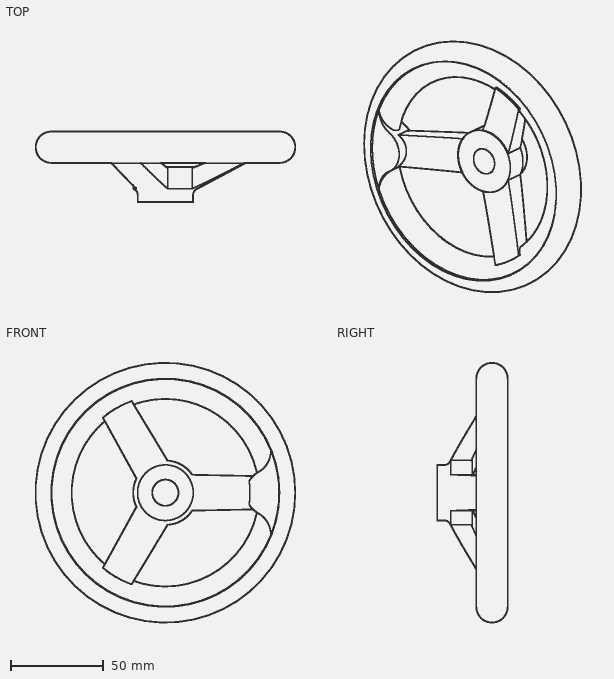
import cadquery as cq
import math

wheel_radius = 70.0
rim_half_width = 8.5
rim_round_centre = wheel_radius - rim_half_width
lip_depth = 1.2
dish_radius = 61.2
inner_radius = 50.4
nose_radius = 3.9
nose_centre = inner_radius + nose_radius

hub_radius = 17.4
hub_nose_radius = 15.0
bore_radius = 7.0
hub_front = -29.5
hub_back = -10.6
step_fillet = 3.4

spoke_count = 3
spoke_axis_half_width = 10.0
spoke_rim_half_width = 8.6
spoke_end = nose_centre
spoke_front_at_hub = -22.3
spoke_back_at_hub = -11.1
spoke_front_slope = 0.533
spoke_back_slope = 0.45

boss_centre = 56.0
boss_radius = 12.6
boss_blend_radius = 13.0
boss_reach = 62.2

dish_depth = rim_half_width - lip_depth


def make_rim():
    """Revolve the rim section: round outside, a conical dish on each side, rounded inner edge."""
    across = dish_radius - nose_centre
    reach = math.hypot(across, dish_depth)
    tangent_angle = math.atan2(dish_depth, across) + math.acos(nose_radius / reach)
    tangent_radius = nose_centre + nose_radius * math.cos(tangent_angle)
    tangent_y = nose_radius * math.sin(tangent_angle)
    section = (
        cq.Workplane("XY")
        .moveTo(rim_round_centre, -rim_half_width)
        .threePointArc((wheel_radius, 0), (rim_round_centre, rim_half_width))
        .lineTo(dish_radius, dish_depth)
        .lineTo(tangent_radius, tangent_y)
        .threePointArc((inner_radius, 0), (tangent_radius, -tangent_y))
        .lineTo(dish_radius, -dish_depth)
        .close()
    )
    return section.revolve(360, (0, 0, 0), (0, 1, 0))


def make_hub_shell():
    """Revolve the hub together with the conical shell that the spokes are cut from."""
    cone_angle = math.atan(spoke_front_slope)
    blend_centre = hub_nose_radius + step_fillet
    shoulder_radius = blend_centre - step_fillet * math.sin(cone_angle)
    shoulder_y = spoke_front_at_hub - spoke_front_slope * (hub_radius - shoulder_radius)
    blend_y = shoulder_y - step_fillet * math.cos(cone_angle)
    half_angle = (math.pi / 2 - cone_angle) / 2
    blend_middle = (
        blend_centre - step_fillet * math.cos(half_angle),
        blend_y + step_fillet * math.sin(half_angle),
    )
    length = spoke_end - hub_radius
    section = (
        cq.Workplane("XY")
        .moveTo(0, hub_back)
        .lineTo(hub_radius, hub_back)
        .lineTo(hub_radius, spoke_back_at_hub)
        .lineTo(spoke_end, spoke_back_at_hub + spoke_back_slope * length)
        .lineTo(spoke_end, spoke_front_at_hub + spoke_front_slope * length)
        .lineTo(shoulder_radius, shoulder_y)
        .threePointArc(blend_middle, (hub_nose_radius, blend_y))
        .lineTo(hub_nose_radius, hub_front)
        .lineTo(0, hub_front)
        .close()
    )
    return section.revolve(360, (0, 0, 0), (0, 1, 0))


def make_spoke_plan():
    """Build the star of the hub circle and the tapered spokes, as a prism along Y."""
    star = cq.Workplane("XZ").circle(hub_radius).extrude(wheel_radius, both=True)
    bar = (
        cq.Workplane("XZ")
        .polyline([
            (0, -spoke_axis_half_width),
            (wheel_radius, -spoke_rim_half_width),
            (wheel_radius, spoke_rim_half_width),
            (0, spoke_axis_half_width),
        ])
        .close()
        .extrude(wheel_radius, both=True)
    )
    for spoke_index in range(spoke_count):
        spoke_angle = spoke_index * 360 / spoke_count
        star = star.union(bar.rotate((0, 0, 0), (0, 1, 0), spoke_angle))
    return star


def make_boss():
    """Build the handle boss: a round pad blended by two arcs into the rim."""
    to_boss = boss_radius + boss_blend_radius
    to_axis = boss_reach - boss_blend_radius
    blend_x = (to_axis**2 - to_boss**2 + boss_centre**2) / (2 * boss_centre)
    blend_z = math.sqrt(to_axis**2 - blend_x**2)
    rim_x = blend_x * boss_reach / to_axis
    rim_z = blend_z * boss_reach / to_axis
    pad_x = boss_centre + (blend_x - boss_centre) * boss_radius / to_boss
    pad_z = blend_z * boss_radius / to_boss
    middle_angle = math.atan2(
        (rim_z + pad_z) / 2 - blend_z,
        (rim_x + pad_x) / 2 - blend_x,
    )
    middle_x = blend_x + boss_blend_radius * math.cos(middle_angle)
    middle_z = blend_z + boss_blend_radius * math.sin(middle_angle)
    outline = (
        cq.Workplane("XZ", origin=(0, dish_depth, 0))
        .moveTo(rim_x, rim_z)
        .threePointArc((middle_x, middle_z), (pad_x, pad_z))
        .threePointArc((boss_centre - boss_radius, 0), (pad_x, -pad_z))
        .threePointArc((middle_x, -middle_z), (rim_x, -rim_z))
        .threePointArc((boss_reach, 0), (rim_x, rim_z))
        .close()
    )
    return outline.extrude(2 * dish_depth)


def make_bore():
    """Build the cylinder that is removed for the through bore."""
    return (
        cq.Workplane("XZ", origin=(0, hub_back, 0))
        .circle(bore_radius)
        .extrude(hub_back - hub_front)
    )


hub_and_spokes = make_hub_shell().intersect(make_spoke_plan())
result = make_rim().union(hub_and_spokes).union(make_boss()).cut(make_bore())